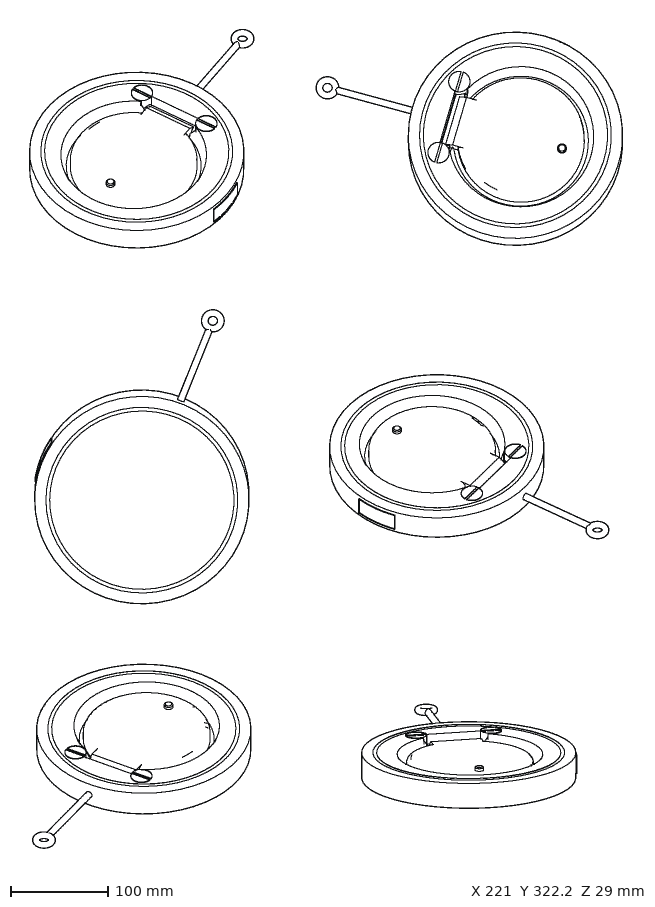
import cadquery as cq
import math

body_diameter = 220.0
body_height = 26.7

seal_inner_diameter = 189.0
seal_outer_diameter = 197.0
seal_height = 1.13

plate_width = 44.5
plate_height = 19.0
plate_thickness = 1.0

pocket_center_y = -5.8
pocket_top_radius = 74.8
pocket_floor_radius = 69.3
pocket_floor_z = 9.7

notch_half_width = 33.8
notch_bottom_y = 60.0
notch_top_y = 72.5

screw_diameter = 22.0
screw_x = 39.3
screw_y = 71.0
slot_width = 2.3
screw_rise = 0.5

flap_radius = 65.0
flap_edge_radius = 4.5
flap_top_z = 22.5
arm_width = 53.0
arm_slope_y = 59.5
arm_end_y = 67.0
arm_drop = 4.8
hinge_diameter = 9.0

knob_y = -49.5
knob_diameter = 9.0
knob_tip_diameter = 6.8
knob_height = 4.0

rod_z = 13.5
rod_diameter = 7.0
eye_outer_diameter = 23.5
rod_insertion = 9.7
overall_length = 322.2

body_radius = body_diameter / 2
hinge_z = flap_top_z - arm_drop - hinge_diameter / 2
flap_thickness = flap_top_z - pocket_floor_z
eye_ring_radius = (eye_outer_diameter - rod_diameter) / 2
eye_center_y = overall_length - body_radius - eye_outer_diameter / 2
rod_start_y = body_radius - rod_insertion
rod_end_y = eye_center_y - eye_ring_radius


def seal_bead(face_z, direction):
    """Ring with a domed section, standing on one flat face of the body."""
    inner = seal_inner_diameter / 2
    outer = seal_outer_diameter / 2
    crest = (inner + outer) / 2
    return (
        cq.Workplane("XZ")
        .moveTo(inner, face_z)
        .threePointArc((crest, face_z + direction * seal_height), (outer, face_z))
        .close()
        .revolve(360, (0, 0, 0), (0, 1, 0))
    )


def nameplate():
    """Thin curved plate on the +X side of the rim."""
    band = (
        cq.Workplane("XY")
        .workplane(offset=(body_height - plate_height) / 2)
        .circle(body_radius + plate_thickness)
        .circle(body_radius - plate_thickness)
        .extrude(plate_height)
    )
    window = cq.Workplane("XY").box(
        body_diameter, plate_width, body_height, centered=(False, True, False)
    )
    return band.intersect(window)


def pocket():
    """Tapered round recess in which the flap disc lies."""
    depth = body_height - pocket_floor_z
    taper = math.degrees(math.atan((pocket_top_radius - pocket_floor_radius) / depth))
    return (
        cq.Workplane("XY")
        .workplane(offset=body_height)
        .center(0, pocket_center_y)
        .circle(pocket_top_radius)
        .extrude(-depth, taper=taper)
    )


def hinge_notch():
    """Rectangular recess for the flap arm, open to the pocket."""
    return cq.Workplane("XY").box(
        2 * notch_half_width,
        notch_top_y - notch_bottom_y,
        body_height - pocket_floor_z,
        centered=(True, False, False),
    ).translate((0, notch_bottom_y, pocket_floor_z))


def screw(x):
    """Flat-head screw with an open slot, standing partly in the notch."""
    shank = cq.Workplane("XY").center(x, screw_y).circle(screw_diameter / 2).extrude(body_height + screw_rise)
    slot = cq.Workplane("XY").box(
        screw_diameter, slot_width, screw_rise, centered=(True, True, False)
    ).translate((x, screw_y, body_height))
    return shank.cut(slot)


def hinge_pin():
    """Pin along X at the end of the flap arm, as long as the notch is wide."""
    return (
        cq.Workplane("YZ")
        .center(arm_end_y, hinge_z)
        .circle(hinge_diameter / 2)
        .extrude(notch_half_width, both=True)
    )


def make_housing():
    housing = cq.Workplane("XY").circle(body_radius).extrude(body_height)
    housing = housing.union(seal_bead(body_height, 1)).union(seal_bead(0, -1))
    housing = housing.union(nameplate())
    housing = housing.cut(pocket()).cut(hinge_notch())
    for x in (-screw_x, screw_x):
        housing = housing.union(screw(x))
    return housing


def make_flap():
    disc = (
        cq.Workplane("XY")
        .workplane(offset=pocket_floor_z)
        .center(0, pocket_center_y)
        .circle(flap_radius)
        .extrude(flap_thickness)
        .faces(">Z")
        .edges()
        .fillet(flap_edge_radius)
    )
    arm = (
        cq.Workplane("YZ")
        .moveTo(0, pocket_floor_z)
        .lineTo(arm_end_y, pocket_floor_z)
        .lineTo(arm_end_y, flap_top_z - arm_drop)
        .lineTo(arm_slope_y, flap_top_z)
        .lineTo(0, flap_top_z)
        .close()
        .extrude(arm_width / 2, both=True)
    )
    knob = (
        cq.Workplane("XY")
        .workplane(offset=flap_top_z)
        .center(0, knob_y)
        .circle(knob_diameter / 2)
        .extrude(knob_height)
        .faces(">Z")
        .chamfer((knob_diameter - knob_tip_diameter) / 2)
    )
    return disc.union(arm).union(hinge_pin()).union(knob)


def rod():
    """Round rod along Y, reaching from inside the body to the eye."""
    return (
        cq.Workplane("XZ", origin=(0, rod_start_y, rod_z))
        .circle(rod_diameter / 2)
        .extrude(rod_start_y - rod_end_y)
    )


def make_eyebolt():
    eye = cq.Solid.makeTorus(
        eye_ring_radius, rod_diameter / 2, cq.Vector(0, eye_center_y, rod_z), cq.Vector(0, 0, 1)
    )
    return rod().union(cq.Workplane(eye))


flap = make_flap()
eyebolt = make_eyebolt()
housing = make_housing().cut(flap).cut(rod())

bodies = [body.solids().val() for body in (housing, flap, eyebolt)]
result = cq.Compound.makeCompound(bodies)